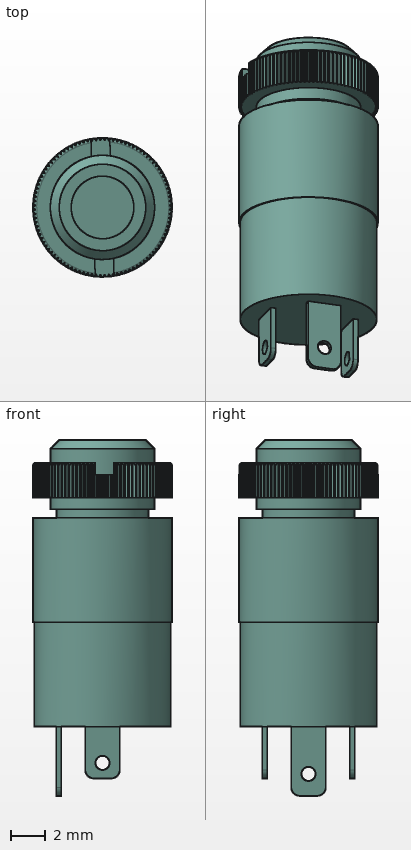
import cadquery as cq

housing_diameter = 8.0
lower_diameter = 7.85
half_height = 6.0
neck_diameter = 5.3
neck_height = 0.5
collar_diameter = 6.0
collar_height = 3.99
collar_chamfer = 0.51
bore_diameter = 3.6
bore_depth = 14.0

lug_offset = 2.52
lug_width = 2.0
lug_thickness = 0.3
lug_hole_diameter = 0.8
lug_corner_radius = 0.51
long_lug_length = 3.99
long_lug_hole_height = 1.27
short_lug_length = 2.99
short_lug_hole_height = 0.9

nut_diameter = housing_diameter
nut_height = 2.0
nut_setback = 1.3
nut_top_fillet = 0.2
groove_count = 100
groove_width = 0.18
groove_depth = 0.15
slot_width = 1.08
slot_depth = 0.7
slot_turn = 180 / groove_count

shoulder_z = 2 * half_height
collar_bottom_z = shoulder_z + neck_height
collar_top_z = collar_bottom_z + collar_height
nut_top_z = collar_top_z - nut_setback
nut_bottom_z = nut_top_z - nut_height


def disc(diameter, bottom_z, height):
    return cq.Workplane("XY").workplane(offset=bottom_z).circle(diameter / 2).extrude(height)


def make_lug(length, hole_height, direction):
    """Flat lug hanging below Z = 0; direction is the angle about Z at which it stands off the axis."""
    plate = (
        cq.Workplane("YZ")
        .center(0, -length / 2)
        .rect(lug_width, length)
        .extrude(lug_thickness / 2, both=True)
        .edges("|X and <Z")
        .fillet(lug_corner_radius)
    )
    hole = (
        cq.Workplane("YZ")
        .center(0, hole_height - length)
        .circle(lug_hole_diameter / 2)
        .extrude(lug_thickness, both=True)
    )
    lug = plate.cut(hole)
    return lug.translate((lug_offset, 0, 0)).rotate((0, 0, 0), (0, 0, 1), direction)


def make_housing():
    collar = disc(collar_diameter, collar_bottom_z, collar_height).faces(">Z").chamfer(collar_chamfer)
    body = (
        disc(lower_diameter, 0, half_height)
        .union(disc(housing_diameter, half_height, half_height))
        .union(disc(neck_diameter, shoulder_z, neck_height))
        .union(collar)
        .cut(disc(bore_diameter, collar_top_z - bore_depth, bore_depth))
    )
    body = body.union(make_lug(long_lug_length, long_lug_hole_height, 180))
    for direction in (90, -90):
        body = body.union(make_lug(short_lug_length, short_lug_hole_height, direction))
    return body


def make_knurl_grooves():
    """V grooves evenly spaced around the nut, running along its full height."""
    nut_radius = nut_diameter / 2
    root_radius = nut_radius - groove_depth
    mouth_radius = nut_radius + groove_depth
    mouth_half_width = groove_width
    pitch_angle = 360 / groove_count
    groove = (
        cq.Workplane("XY")
        .workplane(offset=nut_bottom_z)
        .polyline([(root_radius, 0), (mouth_radius, mouth_half_width), (mouth_radius, -mouth_half_width)])
        .close()
        .extrude(nut_height)
    )
    grooves = []
    for index in range(groove_count):
        angle = (index + 0.5) * pitch_angle
        grooves.append(groove.rotate((0, 0, 0), (0, 0, 1), angle).val())
    return grooves


def make_nut():
    blank = disc(nut_diameter, nut_bottom_z, nut_height).faces(">Z").edges().fillet(nut_top_fillet)
    slot = (
        cq.Workplane("XY")
        .workplane(offset=nut_top_z - slot_depth)
        .rect(slot_width, 2 * nut_diameter)
        .extrude(slot_depth)
        .rotate((0, 0, 0), (0, 0, 1), slot_turn)
    )
    collar_hole = disc(collar_diameter, nut_bottom_z, nut_height)
    nut = blank.cut(collar_hole).val().cut(*make_knurl_grooves())
    return cq.Workplane(nut.cut(slot.val()).Solids()[0])


housing = make_housing()
knurled_nut = make_nut()

result = cq.Compound.makeCompound([housing.val(), knurled_nut.val()])